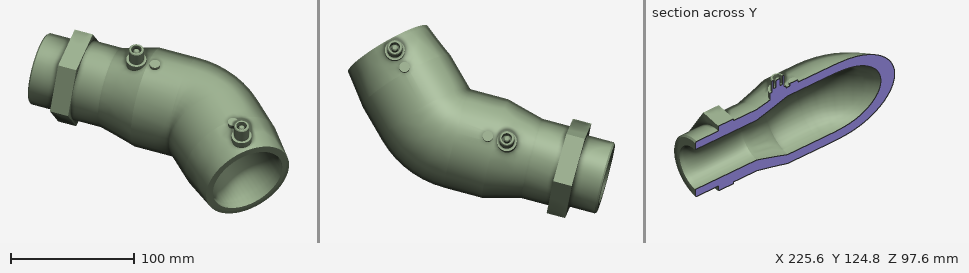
import cadquery as cq
import math

body_radius = 41.5
neck_radius = 33.4
spigot_radius = 30.0
spigot_chamfer = 1.4
outlet_radius = 37.5
inlet_bore_radius = 21.2
body_bore_radius = 31.3

nut_start = 23.2
nut_end = 38.8
neck_end = 62.0
taper_end = 93.0
bend_start = 125.0

bend_angle = 45
bend_radius = 41.7
outlet_straight = bend_start - taper_end
outlet_length = 63.0

nut_across_corners = 81.1

terminal_top = 56.1
collar_top = 43.7
collar_radius = 8.1
sleeve_radius = 6.0
sleeve_chamfer = 0.7
socket_radius = 4.3
socket_depth = 9
pin_radius = 2.5
pin_chamfer = 1.0
pin_recess = 1.4
indicator_radius = 4.3
indicator_top = 44.2
terminal_spacing = 16.0
inlet_indicator_x = 99.5
outlet_indicator_distance = 35.6
stud_base = (body_bore_radius + outlet_radius) / 2

bend_rad = math.radians(bend_angle)
leg_x = bend_start + bend_radius * math.sin(bend_rad)
leg_y = -bend_radius * (1 - math.cos(bend_rad))


def revolved(points):
    """Revolve a (station, radius) outline around the X axis."""
    return cq.Workplane("XY").polyline(points).close().revolve(360, (0, 0, 0), (1, 0, 0))


def bend(radius):
    section = cq.Workplane("YZ", origin=(bend_start, 0, 0)).circle(radius)
    return section.revolve(bend_angle, (-bend_radius, 2.3, 0), (-bend_radius, 0, 0))


def place_on_leg(shape):
    """Move a shape lying along X from the origin onto the outlet leg."""
    return shape.rotate((0, 0, 0), (0, 0, 1), -bend_angle).translate((leg_x, leg_y, 0))


def point_on_leg(distance):
    x = leg_x + distance * math.cos(bend_rad)
    y = leg_y - distance * math.sin(bend_rad)
    return x, y


def outer_body():
    inlet = revolved([
        (0, 0),
        (0, spigot_radius - spigot_chamfer),
        (spigot_chamfer, spigot_radius),
        (nut_start, spigot_radius),
        (nut_start, neck_radius),
        (neck_end, neck_radius),
        (taper_end, body_radius),
        (bend_start, body_radius),
        (bend_start, 0),
    ])
    outlet = revolved([
        (0, 0),
        (0, body_radius),
        (outlet_straight, body_radius),
        (outlet_length, outlet_radius),
        (outlet_length, 0),
    ])
    nut = (
        cq.Workplane("YZ", origin=(nut_start, 0, 0))
        .polygon(6, nut_across_corners)
        .extrude(nut_end - nut_start)
    )
    return inlet.union(bend(body_radius)).union(place_on_leg(outlet)).union(nut)


def bore():
    inlet = revolved([
        (0, 0),
        (0, inlet_bore_radius),
        (neck_end, inlet_bore_radius),
        (taper_end, body_bore_radius),
        (bend_start, body_bore_radius),
        (bend_start, 0),
    ])
    outlet = cq.Workplane("YZ").circle(body_bore_radius).extrude(outlet_length)
    return inlet.union(bend(body_bore_radius)).union(place_on_leg(outlet))


def post(position, radius, bottom, top):
    """Vertical cylinder between two heights."""
    x, y = position
    return cq.Workplane("XY", origin=(x, y, bottom)).circle(radius).extrude(top - bottom)


def terminal(position):
    socket_bottom = terminal_top - socket_depth
    sleeve = post(position, sleeve_radius, stud_base, terminal_top)
    sleeve = sleeve.faces(">Z").edges().chamfer(sleeve_chamfer)
    sleeve = sleeve.cut(post(position, socket_radius, socket_bottom, terminal_top))
    collar = post(position, collar_radius, stud_base, collar_top)
    pin = post(position, pin_radius, socket_bottom, terminal_top - pin_recess)
    pin = pin.faces(">Z").edges().chamfer(pin_chamfer)
    return sleeve.union(collar).union(pin)


def indicator(position):
    return post(position, indicator_radius, stud_base, indicator_top)


stations = [
    ((inlet_indicator_x, 0), (inlet_indicator_x - terminal_spacing, 0)),
    (point_on_leg(outlet_indicator_distance), point_on_leg(outlet_indicator_distance + terminal_spacing)),
]

result = outer_body()
for indicator_position, terminal_position in stations:
    result = result.union(indicator(indicator_position)).union(terminal(terminal_position))
result = result.cut(bore())